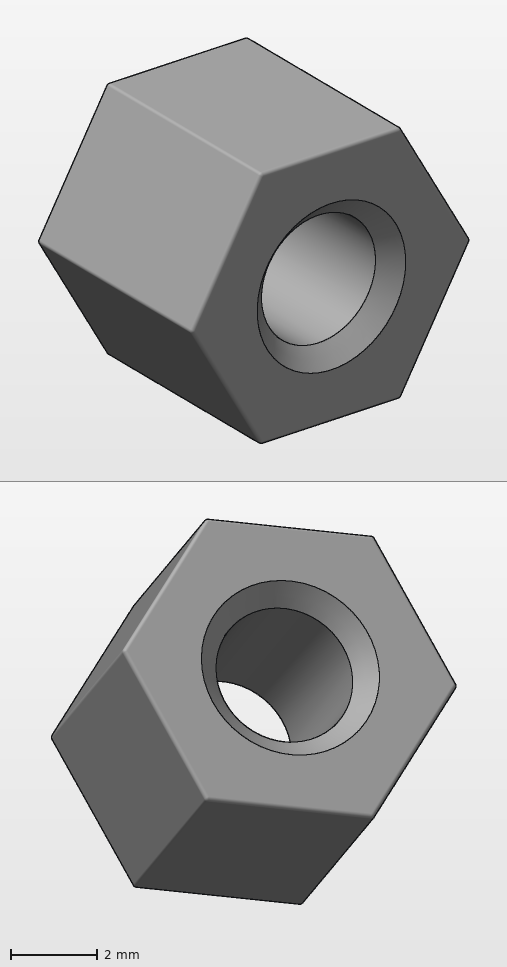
import cadquery as cq
import math

length = 6.0
width_across_corners = 8.05
edge_radius = 0.1
bore_diameter = 3.3
countersink_diameter = 4.3

corner_loss = edge_radius * (1 / math.cos(math.radians(30)) - 1)
sharp_across_corners = width_across_corners + 2 * corner_loss
countersink_depth = (countersink_diameter - bore_diameter) / 2


def hexagonal_body():
    """Hexagonal prism along X, with corners on the Y axis and rounded edges."""
    prism = cq.Workplane("YZ").polygon(6, sharp_across_corners).extrude(length)
    prism = prism.translate((-length / 2, 0, 0))
    return prism.edges().fillet(edge_radius)


def countersunk_bore():
    """Through bore along X with a matching countersink at each end, as one revolved solid."""
    bore_radius = bore_diameter / 2
    mouth_radius = countersink_diameter / 2
    end = length / 2
    cone_root = end - countersink_depth
    half_profile = [
        (-end, 0),
        (-end, mouth_radius),
        (-cone_root, bore_radius),
        (cone_root, bore_radius),
        (end, mouth_radius),
        (end, 0),
    ]
    profile = cq.Workplane("XY").polyline(half_profile).close()
    return profile.revolve(360, (0, 0, 0), (1, 0, 0))


result = hexagonal_body().cut(countersunk_bore())